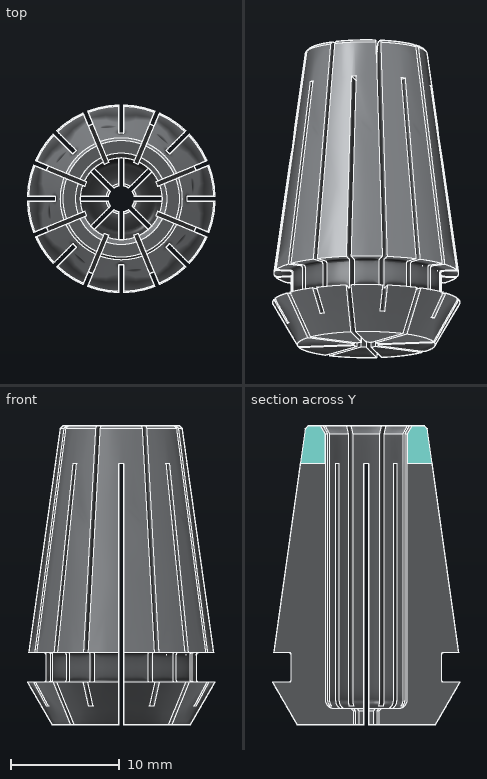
import cadquery as cq
import math

TOTAL_HEIGHT = 27.5
RIM_RADIUS = 8.625
NOSE_HALF_ANGLE = 30.0
BODY_HALF_ANGLE = 8.0
BODY_BASE_RADIUS = 8.5

GROOVE_BOTTOM = 3.95
GROOVE_TOP = 6.65
GROOVE_RADIUS = 6.92
GROOVE_FILLET = 0.2

TOP_CHAMFER = 0.25

BORE_RADIUS = 3.75
BORE_FLOOR = 1.5
BORE_FILLET = 0.8
MOUTH_RADIUS = 4.2
MOUTH_DEPTH = 0.75
HOLE_RADIUS = 1.2
HOLE_CHAMFER = 0.2

SLOT_COUNT = 8
SLOT_WIDTH = 0.45
LOWER_SLOT_TOP = 24.0
UPPER_SLOT_FLOOR = 1.75

SLOT_PITCH = 360.0 / SLOT_COUNT


def taper(height, half_angle):
    """Change of radius over a height on a cone with the given half angle."""
    return height * math.tan(math.radians(half_angle))


def make_outside():
    """Solid of revolution bounded by the outside faces."""
    nose_radius = RIM_RADIUS - taper(GROOVE_BOTTOM, NOSE_HALF_ANGLE)
    shoulder_height = TOTAL_HEIGHT - TOP_CHAMFER
    shoulder_radius = BODY_BASE_RADIUS - taper(shoulder_height - GROOVE_TOP, BODY_HALF_ANGLE)
    fillet_radius = GROOVE_RADIUS + GROOVE_FILLET
    profile = (
        cq.Workplane("XZ")
        .lineTo(nose_radius, 0)
        .lineTo(RIM_RADIUS, GROOVE_BOTTOM)
        .lineTo(fillet_radius, GROOVE_BOTTOM)
        .radiusArc((GROOVE_RADIUS, GROOVE_BOTTOM + GROOVE_FILLET), GROOVE_FILLET)
        .lineTo(GROOVE_RADIUS, GROOVE_TOP - GROOVE_FILLET)
        .radiusArc((fillet_radius, GROOVE_TOP), GROOVE_FILLET)
        .lineTo(BODY_BASE_RADIUS, GROOVE_TOP)
        .lineTo(shoulder_radius, shoulder_height)
        .lineTo(shoulder_radius - TOP_CHAMFER, TOTAL_HEIGHT)
        .lineTo(0, TOTAL_HEIGHT)
        .close()
    )
    return profile.revolve(360, (0, 0, 0), (0, 1, 0))


def make_bore():
    """Cavity: through hole, chamfered floor edge, filleted blind bore and flared mouth."""
    profile = (
        cq.Workplane("XZ")
        .lineTo(HOLE_RADIUS, 0)
        .lineTo(HOLE_RADIUS, BORE_FLOOR - HOLE_CHAMFER)
        .lineTo(HOLE_RADIUS + HOLE_CHAMFER, BORE_FLOOR)
        .lineTo(BORE_RADIUS - BORE_FILLET, BORE_FLOOR)
        .radiusArc((BORE_RADIUS, BORE_FLOOR + BORE_FILLET), -BORE_FILLET)
        .lineTo(BORE_RADIUS, TOTAL_HEIGHT - MOUTH_DEPTH)
        .lineTo(MOUTH_RADIUS, TOTAL_HEIGHT)
        .lineTo(0, TOTAL_HEIGHT)
        .close()
    )
    return profile.revolve(360, (0, 0, 0), (0, 1, 0))


def make_slots(bottom, top, start_angle):
    """Cutters for a ring of radial slots, each blade spanning two opposite slots."""
    blades = cq.Workplane("XY")
    for index in range(SLOT_COUNT // 2):
        blade = (
            cq.Workplane("XY", origin=(0, 0, bottom))
            .rect(2 * RIM_RADIUS + SLOT_WIDTH, SLOT_WIDTH)
            .extrude(top - bottom)
            .rotate((0, 0, 0), (0, 0, 1), start_angle + index * SLOT_PITCH)
        )
        blades = blades.add(blade)
    return blades.combine()


collet = make_outside().cut(make_bore())
collet = collet.cut(make_slots(0, LOWER_SLOT_TOP, 0))
collet = collet.cut(make_slots(UPPER_SLOT_FLOOR, TOTAL_HEIGHT, SLOT_PITCH / 2))

result = cq.Workplane("XY").newObject([collet.solids().val()])